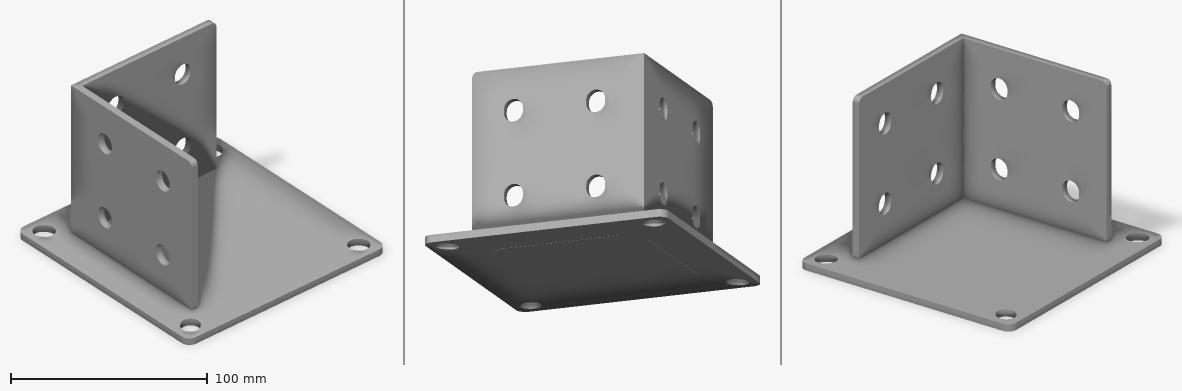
import cadquery as cq

BASE_LENGTH = 134.0
BASE_WIDTH = 133.0
BASE_CORNER_RADIUS = 5.0
TOTAL_HEIGHT = 94.0
THICKNESS = 4.0

HOLE_WIDTH = 10.5
HOLE_LENGTH = 11.9
BASE_HOLE_INSET = 10.0

WALL_LENGTH = 94.1
WALL_CORNER_RADIUS = 3.0
WALL_HOLE_SPACING = 45.0
WALL_HOLE_CENTRE = THICKNESS + (WALL_LENGTH - THICKNESS) / 2
WALL_HEIGHT = TOTAL_HEIGHT - THICKNESS
CORNER_X = -WALL_LENGTH / 2
CORNER_Y = -WALL_LENGTH / 2

FINGER_COUNT = 9
FINGER_HEIGHT = WALL_HEIGHT / FINGER_COUNT
FINGER_CLEARANCE = 0.1

TAB_LENGTH = 70.0
TAB_START = WALL_HOLE_CENTRE - TAB_LENGTH / 2
SLOT_CLEARANCE = 0.2


def make_base():
    """Rounded plate with a diagonal slotted hole at each corner and two tab slots."""
    base = (
        cq.Workplane("XY")
        .rect(BASE_LENGTH, BASE_WIDTH)
        .extrude(THICKNESS)
        .edges("|Z")
        .fillet(BASE_CORNER_RADIUS)
    )
    hole_x = BASE_LENGTH / 2 - BASE_HOLE_INSET
    hole_y = BASE_WIDTH / 2 - BASE_HOLE_INSET
    for side_x in (-1, 1):
        for side_y in (-1, 1):
            hole = (
                cq.Workplane("XY")
                .center(side_x * hole_x, side_y * hole_y)
                .slot2D(HOLE_LENGTH, HOLE_WIDTH, 45 * side_x * side_y)
                .extrude(THICKNESS)
            )
            base = base.cut(hole)

    slot_width = THICKNESS + SLOT_CLEARANCE
    x_slot = cq.Workplane("XY").box(TAB_LENGTH, slot_width, THICKNESS, centered=False)
    y_slot = cq.Workplane("XY").box(slot_width, TAB_LENGTH, THICKNESS, centered=False)
    base = base.cut(x_slot.translate((CORNER_X + TAB_START, CORNER_Y, 0)))
    return base.cut(y_slot.translate((CORNER_X, CORNER_Y + TAB_START, 0)))


def make_wall(first_notch):
    """Wall along +X from the outer corner, with every second finger notched out.

    The wall occupies 0 <= Y <= THICKNESS; first_notch is the lowest finger to notch.
    """
    wall = (
        cq.Workplane("XY")
        .box(WALL_LENGTH, THICKNESS, WALL_HEIGHT, centered=False)
        .translate((0, 0, THICKNESS))
        .edges("|Y and >X and >Z")
        .fillet(WALL_CORNER_RADIUS)
    )
    tab = cq.Workplane("XY").box(TAB_LENGTH, THICKNESS, THICKNESS, centered=False)
    wall = wall.union(tab.translate((TAB_START, 0, 0)))

    notch_depth = THICKNESS + FINGER_CLEARANCE
    for finger in range(first_notch, FINGER_COUNT, 2):
        notch = cq.Workplane("XY").box(notch_depth, THICKNESS, FINGER_HEIGHT, centered=False)
        wall = wall.cut(notch.translate((0, 0, THICKNESS + finger * FINGER_HEIGHT)))

    holes = (
        cq.Workplane("XZ")
        .center(WALL_HOLE_CENTRE, THICKNESS + WALL_HEIGHT / 2)
        .rarray(WALL_HOLE_SPACING, WALL_HOLE_SPACING, 2, 2)
        .slot2D(HOLE_LENGTH, HOLE_WIDTH, 90)
        .extrude(-THICKNESS)
    )
    return wall.cut(holes)


base = make_base()

x_wall = make_wall(first_notch=1).translate((CORNER_X, CORNER_Y, 0))

y_wall = (
    make_wall(first_notch=0)
    .mirror("XZ")
    .rotate((0, 0, 0), (0, 0, 1), 90)
    .translate((CORNER_X, CORNER_Y, 0))
)

result = cq.Compound.makeCompound([base.val(), x_wall.val(), y_wall.val()])